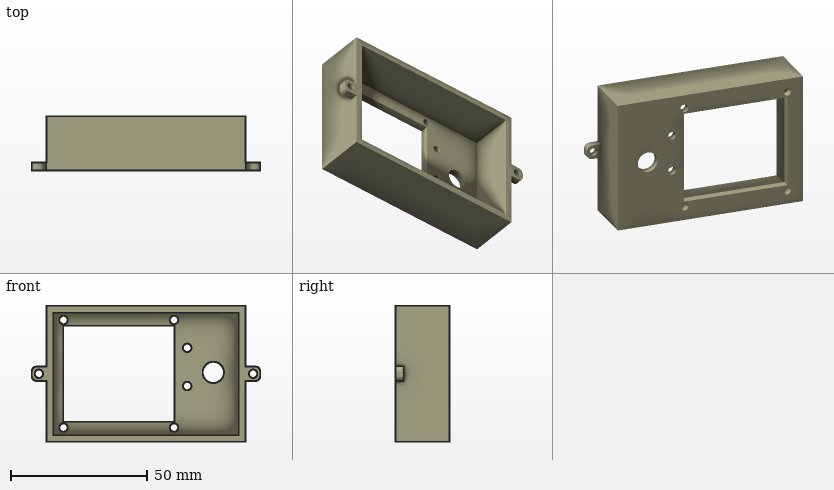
import cadquery as cq

box_width = 73.2
box_depth = 20.0
box_height = 50.0
wall = 2.5
panel_thickness = 3.0

overall_width = 84.0
ear_height = 5.5
ear_thickness = 3.0
ear_corner_radius = 2.0
ear_hole_inset = 2.7

screw_diameter = 3.0
window_width = 40.7
window_height = 35.2
window_x = -10.0
corner_screw_spacing_x = 40.6
corner_screw_spacing_z = 39.5
side_screw_x = 15.1
side_screw_z = 2.5
side_screw_spacing = 14.0
round_opening_diameter = 7.7
round_opening_x = 24.7
round_opening_z = 0.5


def block(width, depth, height):
    """Block centered in X and Z, running from Y = 0 toward +Y."""
    return cq.Workplane("XY").box(width, depth, height, centered=(True, False, True))


def through_holes(points, diameter):
    """Cylinders along Y at (x, z) points, spanning the whole depth."""
    return cq.Workplane("XZ").pushPoints(points).circle(diameter / 2).extrude(-box_depth)


shell = block(box_width, box_depth, box_height)
ears = block(overall_width, ear_thickness, ear_height).edges("|Y").fillet(ear_corner_radius)
cavity = block(box_width - 2 * wall, box_depth - panel_thickness, box_height - 2 * wall)
body = shell.union(ears).cut(cavity)

ear_hole_x = overall_width / 2 - ear_hole_inset
body = body.cut(through_holes([(-ear_hole_x, 0), (ear_hole_x, 0)], screw_diameter))

window = block(window_width, box_depth, window_height).translate((window_x, 0, 0))
corner_screws = [
    (window_x + side_x * corner_screw_spacing_x / 2, side_z * corner_screw_spacing_z / 2)
    for side_x in (-1, 1)
    for side_z in (-1, 1)
]
body = body.cut(window).cut(through_holes(corner_screws, screw_diameter))

side_screws = [(side_screw_x, side_screw_z + side * side_screw_spacing / 2) for side in (-1, 1)]
body = body.cut(through_holes(side_screws, screw_diameter))
result = body.cut(through_holes([(round_opening_x, round_opening_z)], round_opening_diameter))